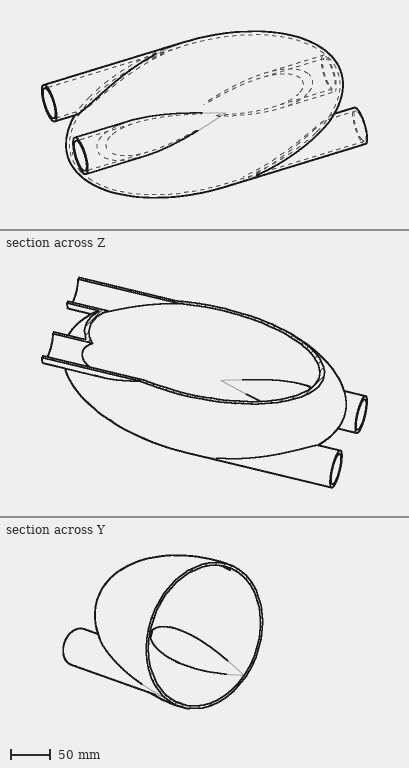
import cadquery as cq
import math

overall_length = 380.0
body_length = 368.5
body_diameter = 189.0
pipe_radius = 24.0
wall = 4.0

body_radius = body_diameter / 2
pipe_length = overall_length / 2
pipe_offset = (body_radius - pipe_radius) / math.sqrt(2)


def ellipsoid(half_length, radius):
    """Ball of the given half length, squeezed to the radius across X and Z."""
    return (
        cq.Workplane("XY")
        .moveTo(0, -half_length)
        .threePointArc((half_length, 0), (0, half_length))
        .close()
        .revolve(360, (0, 0, 0), (0, 1, 0))
        .val()
        .transformGeometry(
            cq.Matrix([
                [radius / half_length, 0, 0, 0],
                [0, 1, 0, 0],
                [0, 0, radius / half_length, 0],
            ])
        )
    )


def rods(radius):
    """Four rods from mid-length: the upper pair runs to -Y, the lower pair to +Y."""
    pieces = []
    for side in (-1, 1):
        for level in (-1, 1):
            start = cq.Vector(side * pipe_offset, 0, level * pipe_offset)
            direction = cq.Vector(0, -level, 0)
            pieces.append(cq.Solid.makeCylinder(radius, pipe_length, start, direction))
    return pieces


def body_with_rods(inset):
    """Ellipsoid joined with the four rods, all drawn in by the given inset."""
    shape = cq.Workplane(obj=ellipsoid(body_length / 2 - inset, body_radius - inset))
    for rod in rods(pipe_radius - inset):
        shape = shape.union(cq.Workplane(obj=rod))
    return shape


result = body_with_rods(0).cut(body_with_rods(wall))